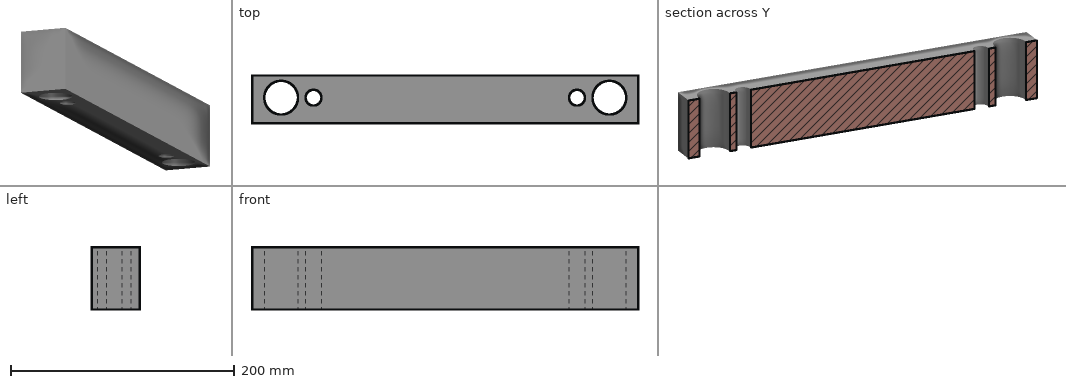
import cadquery as cq

LENGTH = 346.0
WIDTH = 43.0
HEIGHT = 56.0

LARGE_DIAMETER = 30.0
LARGE_SPACING = 294.0
SMALL_DIAMETER = 14.0
SMALL_SPACING = 236.0
HOLE_FRONT_EDGE_DISTANCE = 23.0
HOLE_Y = HOLE_FRONT_EDGE_DISTANCE - WIDTH / 2


def hole_pair(diameter, spacing):
    """Two full-height cylinders, placed symmetrically along X."""
    centres = [(-spacing / 2, HOLE_Y), (spacing / 2, HOLE_Y)]
    return cq.Workplane("XY").pushPoints(centres).circle(diameter / 2).extrude(HEIGHT)


bar = cq.Workplane("XY").box(LENGTH, WIDTH, HEIGHT, centered=(True, True, False))

result = bar.cut(hole_pair(LARGE_DIAMETER, LARGE_SPACING)).cut(hole_pair(SMALL_DIAMETER, SMALL_SPACING))